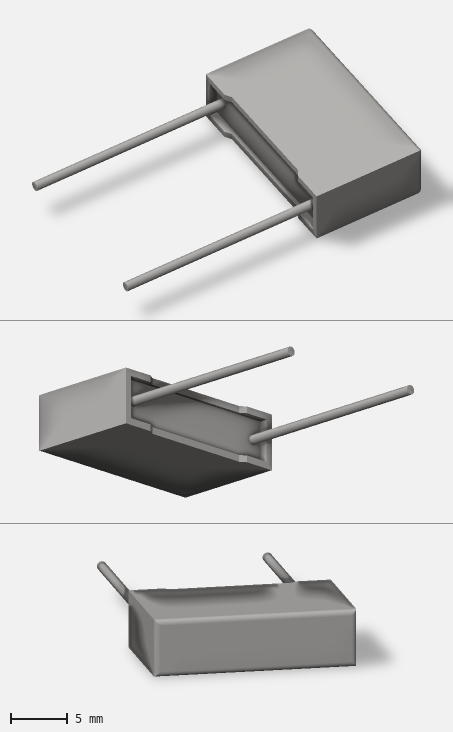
import cadquery as cq

total_length = 30.1
case_width = 18.3
case_height = 5.2
lead_length = 18.95
case_depth = total_length - lead_length

wall = 0.63
back_wall = wall
back_edge_radius = 0.48
notch_depth = 0.4
notch_width_open = 12.1
notch_width_inner = 10.9

fill_recess = 0.75
lead_diameter = 0.87
lead_spacing = 15.0
lead_embedment = 1.5

cavity_width = case_width - 2 * wall
cavity_height = case_height - 2 * wall
fill_depth = case_depth - back_wall - fill_recess


def block(width, depth, height, front_y):
    """Box centred in X and Z that runs from front_y toward +Y."""
    return cq.Workplane("XY").box(width, depth, height, centered=(True, False, True)).translate((0, front_y, 0))


def make_notch():
    """Shallow tapered notch across the open face, through both broad walls."""
    return (
        cq.Workplane("XY")
        .polyline([
            (-notch_width_open / 2, 0),
            (notch_width_open / 2, 0),
            (notch_width_inner / 2, notch_depth),
            (-notch_width_inner / 2, notch_depth),
        ])
        .close()
        .extrude(case_height / 2, both=True)
    )


def make_case():
    """Open box with rounded back edges and a notched rim."""
    shell = block(case_width, case_depth, case_height, 0).faces(">Y").edges().fillet(back_edge_radius)
    cavity = block(cavity_width, case_depth - back_wall, cavity_height, 0)
    return shell.cut(cavity).cut(make_notch())


def make_lead(x):
    """Round wire along Y, with its inner end inside the filling."""
    wire = cq.Solid.makeCylinder(
        lead_diameter / 2,
        lead_length + fill_recess + lead_embedment,
        cq.Vector(x, -lead_length, 0),
        cq.Vector(0, 1, 0),
    )
    return cq.Workplane("XY").add(wire)


def make_filling(leads):
    """Block that fills the cavity behind the recess, with a hole for each lead."""
    filling = block(cavity_width, fill_depth, cavity_height, fill_recess)
    for lead in leads:
        filling = filling.cut(lead)
    return filling


case = make_case()
leads = [make_lead(side * lead_spacing / 2) for side in (-1, 1)]
filling = make_filling(leads)

result = cq.Compound.makeCompound([case.val(), filling.val(), *[lead.val() for lead in leads]])